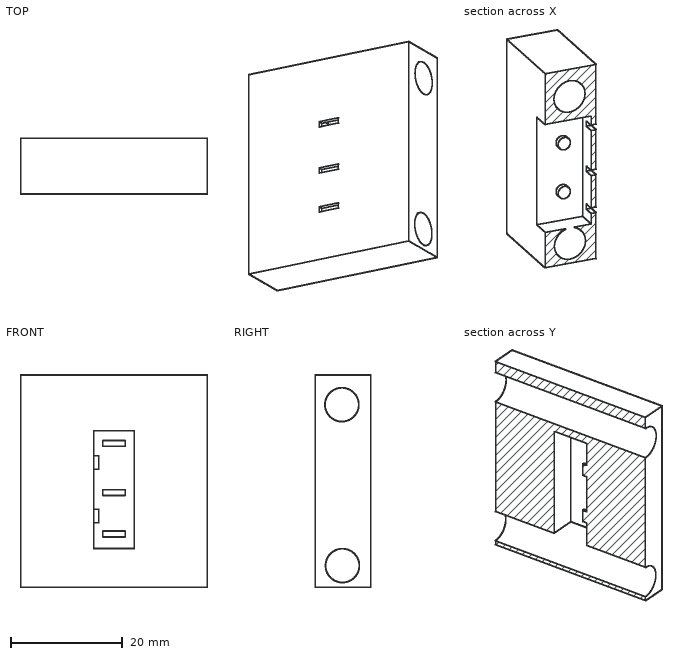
import cadquery as cq

WIDTH = 33.33
DEPTH = 10.0
HEIGHT = 37.99
FRONT = -DEPTH / 2

POCKET_WIDTH = 7.2
POCKET_HEIGHT = 21.0
POCKET_DEPTH = 9.0
POCKET_Z = -1.5

SLOT_WIDTH = 4.0
SLOT_HEIGHT = 1.0
SLOT_LEVELS = (6.75, -2.05, -9.45)

PIN_DIAMETER = 2.4
PIN_LENGTH = 0.9
PIN_Y = 0.0
PIN_LEVELS = (3.3, -6.25)

CROSS_HOLE_DIAMETER = 6.0
CROSS_HOLE_CENTRES = ((-0.2, 13.65), (-0.1, -15.1))


def make_pocket():
    """Box removed from the -Y face of the block."""
    return cq.Workplane("XY").box(POCKET_WIDTH, POCKET_DEPTH, POCKET_HEIGHT).translate(
        (0, FRONT + POCKET_DEPTH / 2, POCKET_Z)
    )


def make_slot(z):
    """Cutter for one slot, running front to back."""
    return cq.Workplane("XY").box(SLOT_WIDTH, DEPTH, SLOT_HEIGHT).translate((0, 0, z))


def make_x_cylinder(diameter, start_x, length, y, z):
    """Cylinder along +X starting at start_x."""
    return (
        cq.Workplane("YZ", origin=(start_x, y, z))
        .circle(diameter / 2)
        .extrude(length)
    )


result = cq.Workplane("XY").box(WIDTH, DEPTH, HEIGHT).cut(make_pocket())

for slot_z in SLOT_LEVELS:
    result = result.cut(make_slot(slot_z))

for hole_y, hole_z in CROSS_HOLE_CENTRES:
    result = result.cut(make_x_cylinder(CROSS_HOLE_DIAMETER, -WIDTH / 2, WIDTH, hole_y, hole_z))

for pin_z in PIN_LEVELS:
    result = result.union(make_x_cylinder(PIN_DIAMETER, -POCKET_WIDTH / 2, PIN_LENGTH, PIN_Y, pin_z))